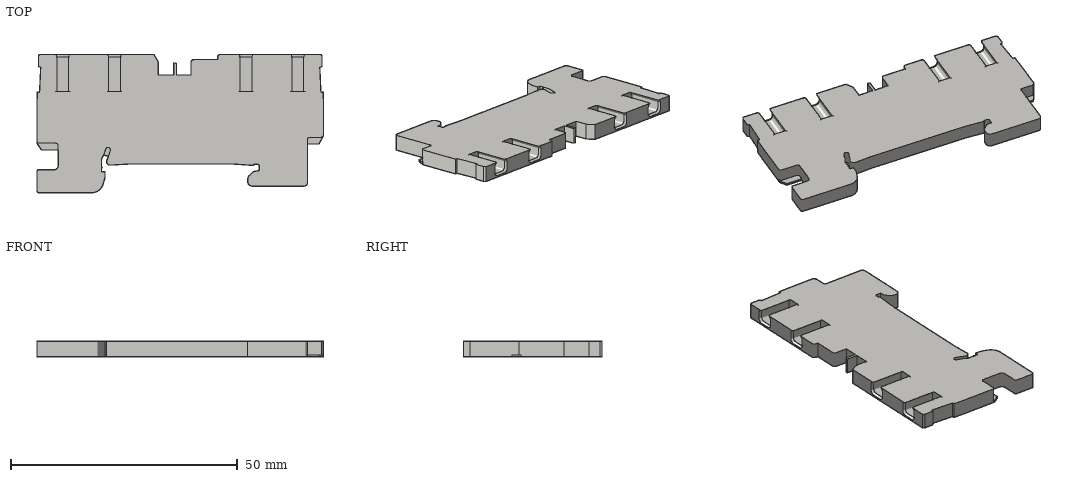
import cadquery as cq
import math

length = 63.2
depth = 30.5
thickness = 3.5
lip_thickness = 0.475

end_axis_x = length / 2
latch_top_y = 30.1
latch_bottom_y = 27.7
shoulder_y = 22.2
bulge_y = 19.15
latch_face_x = 0.3
latch_bevel = 0.25
latch_radius = 0.4
latch_neck_x = 0.8
shoulder_neck_x = 0.6
shoulder_x = 0.05

window_left_x = 26.8
window_right_x = 33.95
window_floor_y = 26.0
window_bevel_x = 25.8
window_bevel_y = 28.9
step_y = 29.4
step_x = 39.8
step_radius = 0.65
pin_left_x = 30.15
pin_width = 0.65
pin_top_y = 28.6
pin_radius = 0.25

notch_left_x = 4.7
notch_left_top_y = 10.95
left_lip_y = 9.4
left_lip_bevel = 1.0
foot_left_top_y = 5.1
foot_heel_radius = 0.5
foot_top_radius = 0.4
notch_radius = 0.9
notch_corner_radius = 0.5
foot_toe_x = 15.05
foot_toe_y = 4.7
toe_bend_y = 3.3
toe_bend_radius = 1.9
toe_bottom_x = 14.0
foot_toe_radius = 2.65

slot_left_x = 14.3
slot_width = 1.1
slot_tip_x = 15.7
slot_tip_y = 9.5
slot_angle = 72.0
slot_web_length = 1.4
slot_bend_y = 7.45
slot_bend_radius = 0.95
nub_y = 5.55
nub_size = 0.2

seat_edge_y = 6.0
seat_y = 6.3
seat_left_x = 20.3
seat_right_x = 43.3
seat_corner_x = 14.85
seat_corner_radius = 0.8

foot_right_x = 59.65
foot_right_y = 1.45
foot_right_radius = 0.75
hook_tip_x = 46.45
hook_radius = 1.0
hook_shoulder_y = 3.5
hook_bend_x = 47.8
hook_bend_y = 4.75
hook_root_x = 49.0
hook_root_y = 4.9
relief_left_x = 47.85
relief_top_y = 6.25
relief_radius = 0.3
relief_edge_radius = 0.2
notch_right_top_y = 12.2
right_lip_y = 10.75
right_lip_end_x = 62.2
right_corner_y = 12.65
right_corner_bevel = 0.5
right_root_radius = 0.3

groove_centers = (5.7, 17.1)
groove_width = 3.7
groove_corner_radius = 0.9
groove_floor_z = 0.7
groove_overshoot = 0.06
groove_top_z = thickness + groove_overshoot
groove_end_y = 22.4
mouth_length = 0.6
mouth_flare = 0.2
mouth_drop = 0.3


def rounded_outline(corners, plane=cq.Workplane("XY")):
    """Closed wire through (x, y) or (x, y, radius) corners, rounded where a radius is given."""
    count = len(corners)
    stretches = []
    for i, corner in enumerate(corners):
        here = cq.Vector(corner[0], corner[1])
        if len(corner) == 2:
            stretches.append((here,))
            continue
        before = cq.Vector(*corners[i - 1][:2])
        after = cq.Vector(*corners[(i + 1) % count][:2])
        to_before = (before - here).normalized()
        to_after = (after - here).normalized()
        half_angle = to_before.getAngle(to_after) / 2
        setback = corner[2] / math.tan(half_angle)
        bisector = (to_before + to_after).normalized()
        middle = here + bisector * (corner[2] / math.sin(half_angle) - corner[2])
        stretches.append((here + to_before * setback, middle, here + to_after * setback))
    outline = plane.moveTo(*stretches[0][-1].toTuple()[:2])
    for stretch in stretches[1:] + stretches[:1]:
        outline = outline.lineTo(*stretch[0].toTuple()[:2])
        if len(stretch) == 3:
            outline = outline.threePointArc(stretch[1].toTuple()[:2], stretch[2].toTuple()[:2])
    return outline.close()


def mirrored_x(x):
    return 2 * end_axis_x - x


upper_left = [
    (0, bulge_y),
    (shoulder_x, shoulder_y),
    (shoulder_neck_x, shoulder_y),
    (latch_neck_x, latch_bottom_y),
    (latch_face_x, latch_bottom_y, latch_radius),
    (latch_face_x, latch_top_y),
    (latch_face_x + latch_bevel, depth),
]

upper_right = [(mirrored_x(corner[0]), *corner[1:]) for corner in reversed(upper_left[1:])]

upper_edge = [
    (window_bevel_x, depth),
    (window_left_x, window_bevel_y),
    (window_left_x, window_floor_y),
    (pin_left_x, window_floor_y),
    (pin_left_x, pin_top_y),
    (pin_left_x + pin_width, pin_top_y, pin_radius),
    (pin_left_x + pin_width, window_floor_y),
    (window_right_x, window_floor_y),
    (window_right_x, step_y, step_radius),
    (step_x, step_y),
    (step_x, depth, step_radius),
]

right_foot = [
    (length, bulge_y),
    (length, right_corner_y, right_corner_bevel),
    (length - right_corner_bevel, notch_right_top_y),
    (foot_right_x, notch_right_top_y, right_root_radius),
    (foot_right_x, foot_right_y, foot_right_radius),
    (hook_tip_x, foot_right_y, hook_radius),
    (hook_tip_x, hook_shoulder_y, hook_radius),
    (hook_bend_x, hook_bend_y, hook_radius / 2),
    (hook_root_x, hook_root_y),
    (hook_root_x, relief_top_y, relief_radius),
    (relief_left_x, relief_top_y),
    (relief_left_x, seat_edge_y, relief_edge_radius),
]

slot_along = cq.Vector(math.cos(math.radians(slot_angle)), math.sin(math.radians(slot_angle)))
slot_across = cq.Vector(slot_along.y, -slot_along.x)
slot_tip = cq.Vector(slot_tip_x, slot_tip_y)
web_middle = slot_tip - slot_along * slot_web_length
web_right = web_middle + slot_across * (slot_width / 2)
web_left = web_middle - slot_across * (slot_width / 2)

lower_edge = [
    (seat_right_x, seat_y),
    (seat_left_x, seat_y),
    (seat_corner_x, seat_edge_y, seat_corner_radius),
    (web_right.x, web_right.y),
    (web_left.x, web_left.y),
    (slot_left_x, slot_bend_y, slot_bend_radius),
    (slot_left_x, nub_y + nub_size),
    (slot_left_x + nub_size, nub_y),
    (slot_left_x, nub_y - nub_size),
    (slot_left_x, foot_toe_y),
]

left_foot = [
    (foot_toe_x, foot_toe_y),
    (foot_toe_x, toe_bend_y, toe_bend_radius),
    (toe_bottom_x, 0, foot_toe_radius),
    (0, 0, foot_heel_radius),
    (0, foot_left_top_y, foot_top_radius),
    (notch_left_x, foot_left_top_y, notch_radius),
    (notch_left_x, notch_left_top_y, notch_corner_radius),
    (0, notch_left_top_y, notch_corner_radius),
]


def notch_lip(corners):
    """Thin ledge on the underside, from the notch edge outwards."""
    return cq.Workplane("XY").polyline(corners).close().extrude(lip_thickness)


def groove_section(center_x, y, half_width, floor_z):
    """Rounded rectangle across the groove, standing just proud of the top face."""
    corners = [
        (-half_width, floor_z),
        (half_width, floor_z),
        (half_width, groove_top_z),
        (-half_width, groove_top_z),
    ]
    rounded = [(*corner, groove_corner_radius) for corner in corners]
    return rounded_outline(rounded, cq.Workplane("XZ", origin=(center_x, y, 0)))


def wire_groove(center_x):
    """Rounded rectangular bore that breaks through the top face and widens at the upper edge."""
    half_width = groove_width / 2
    mouth_y = depth - mouth_length
    straight = groove_section(center_x, groove_end_y, half_width, groove_floor_z)
    inner_end = groove_section(center_x, mouth_y, half_width, groove_floor_z)
    outer_end = groove_section(center_x, depth, half_width + mouth_flare, groove_floor_z - mouth_drop)
    mouth = cq.Solid.makeLoft([inner_end.val(), outer_end.val()], True)
    return straight.extrude(groove_end_y - depth).union(cq.Workplane(mouth))


body = rounded_outline(
    upper_left + upper_edge + upper_right + right_foot + lower_edge + left_foot
).extrude(thickness)

left_lip = notch_lip([
    (0, notch_left_top_y + notch_corner_radius),
    (0, notch_left_top_y),
    (left_lip_bevel, left_lip_y),
    (notch_left_x, left_lip_y),
    (notch_left_x, notch_left_top_y + notch_corner_radius),
])
right_lip = notch_lip([
    (length, right_corner_y),
    (right_lip_end_x, right_lip_y),
    (foot_right_x, right_lip_y),
    (foot_right_x, right_corner_y),
])

slot_start = cq.Workplane("XY", origin=(slot_tip_x, slot_tip_y, lip_thickness))
slot_plane = slot_start.transformed(rotate=(0, 0, slot_angle))
slot_end = slot_plane.circle(slot_width / 2).extrude(thickness)
slot_middle = slot_plane.center(-slot_web_length / 2, 0)
slot_straight = slot_middle.rect(slot_web_length, slot_width).extrude(thickness)
slot_pocket = slot_end.union(slot_straight)

result = body.union(left_lip).union(right_lip).cut(slot_pocket)
for groove_x in groove_centers:
    result = result.cut(wire_groove(groove_x)).cut(wire_groove(mirrored_x(groove_x)))